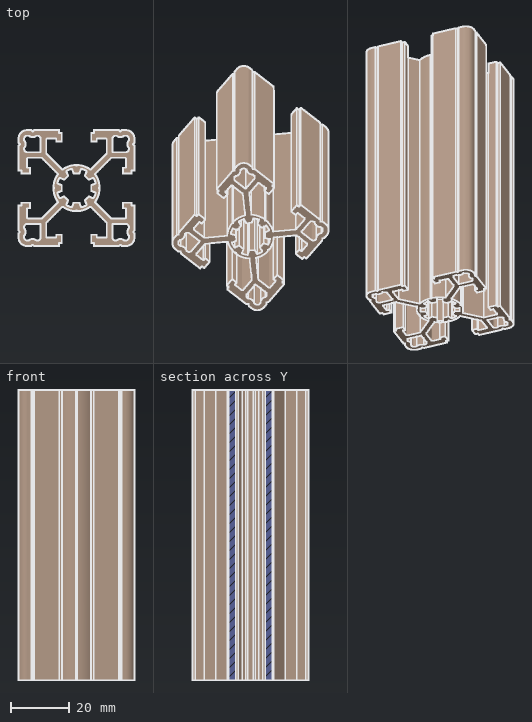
import cadquery as cq
import math

side = 40.0
length = 100.0
half_side = side / 2
corner_radius = 3.0

quadrant_count = 4

slot_width = 10.0
lip_step = 1.0
lip_wall = 3.0
hook_depth = 1.0
hook_width = 2.0

box_size = 9.6
outer_wall = 2.0
web_wall = 2.0
hollow_radius = corner_radius - outer_wall
lip_root_radius = 0.3
diagonal_wall = 2.2

groove_offset = 4.9
groove_width = 1.0
groove_depth = 0.5
bump_half_width = 1.3
bump_height = 0.5

ring_outer_radius = 8.0
ring_inner_radius = 6.8
tooth_tip_radius = 5.0
tooth_count = 8
tooth_base_width = 3.4
tooth_tip_width = 2.0
ring_groove_width = 0.6
ring_groove_depth = 0.4

box_inner = half_side - box_size
slot_edge = slot_width / 2


def extrude_outline(points):
    """Full-length prism over a closed outline of straight lines."""
    return cq.Workplane("XY").polyline(points).close().extrude(length)


def bar(x_start, x_end, y_start, y_end):
    """Full-length rectangular bar between two pairs of limits."""
    return (
        cq.Workplane("XY")
        .rect(x_end - x_start, y_end - y_start)
        .extrude(length)
        .translate(((x_start + x_end) / 2, (y_start + y_end) / 2, 0))
    )


def mirror_across_diagonal(solid):
    """Swap X and Y: a half turn about the line X = Y."""
    flipped = solid.rotate((0, 0, 0), (1, 1, 0), 180)
    return flipped.translate((0, 0, length))


def lip():
    """Stepped, hooked lip reaching from the corner box to the slot opening."""
    return extrude_outline([
        (box_inner, half_side),
        (slot_edge + lip_step, half_side),
        (slot_edge + lip_step, half_side - lip_step),
        (slot_edge, half_side - lip_step),
        (slot_edge, half_side - lip_wall - hook_depth),
        (slot_edge + hook_width, half_side - lip_wall - hook_depth),
        (slot_edge + hook_width, half_side - lip_wall),
        (box_inner, half_side - lip_wall),
    ])


def bump():
    """Rounded bump on the hollow's wall, in line with the marker groove."""
    centre = half_side - groove_offset
    wall = half_side - outer_wall
    return (
        cq.Workplane("XY")
        .moveTo(centre - bump_half_width, wall)
        .threePointArc((centre, wall - bump_height), (centre + bump_half_width, wall))
        .close()
        .extrude(length)
    )


def v_groove(centre, face, width, depth):
    """Prism that cuts a V groove at X = centre into the face at Y = face."""
    return extrude_outline([
        (centre - width / 2, face),
        (centre, face - depth),
        (centre + width / 2, face),
    ])


def hollow():
    """Space inside the corner box, rounded on its outer walls and narrowed by the bumps."""
    start = box_inner + web_wall
    end = half_side - outer_wall
    space = bar(start, end, start, end)
    space = space.edges("|Z and (>X or >Y)").fillet(hollow_radius)
    return space.cut(bump()).cut(mirror_across_diagonal(bump()))


def lip_root():
    """Concave fillet in the corner between the lip and the corner box."""
    lip_face = half_side - lip_wall
    bend = lip_root_radius * (1 - math.sqrt(0.5))
    return (
        cq.Workplane("XY")
        .moveTo(box_inner, lip_face)
        .lineTo(box_inner - lip_root_radius, lip_face)
        .threePointArc((box_inner - bend, lip_face - bend), (box_inner, lip_face - lip_root_radius))
        .close()
        .extrude(length)
    )


def corner():
    """Hollow corner box with a lip on each side, in the +X +Y quadrant."""
    box = bar(box_inner, half_side, box_inner, half_side)
    box = box.edges("|Z and >X and >Y").fillet(corner_radius).cut(hollow())
    side_lip = lip().union(lip_root())
    marker = v_groove(half_side - groove_offset, half_side, groove_width, groove_depth)
    solid = box.union(side_lip).union(mirror_across_diagonal(side_lip))
    return solid.cut(marker).cut(mirror_across_diagonal(marker))


def diagonal_web():
    """Web along the diagonal, from inside the ring wall to the corner box."""
    start = (ring_inner_radius + ring_outer_radius) / 2
    end = (box_inner + web_wall / 2) * math.sqrt(2)
    return bar(start, end, -diagonal_wall / 2, diagonal_wall / 2).rotate((0, 0, 0), (0, 0, 1), 45)


def tooth():
    """Tapered tooth pointing from the ring to the axis, along +X."""
    root = (ring_inner_radius + ring_outer_radius) / 2
    return extrude_outline([
        (root, -tooth_base_width / 2),
        (ring_inner_radius, -tooth_base_width / 2),
        (tooth_tip_radius, -tooth_tip_width / 2),
        (tooth_tip_radius, tooth_tip_width / 2),
        (ring_inner_radius, tooth_base_width / 2),
        (root, tooth_base_width / 2),
    ])


def turned(solid, index, count):
    """Copy number index of count copies spread evenly around the Z axis."""
    return solid.rotate((0, 0, 0), (0, 0, 1), index * 360 / count)


profile = cq.Workplane("XY").circle(ring_outer_radius).circle(ring_inner_radius).extrude(length)

for index in range(tooth_count):
    profile = profile.union(turned(tooth(), index, tooth_count))

quadrant = corner().union(diagonal_web())
ring_groove = v_groove(0, ring_outer_radius, ring_groove_width, ring_groove_depth)
for index in range(quadrant_count):
    profile = profile.union(turned(quadrant, index, quadrant_count))
    profile = profile.cut(turned(ring_groove, index, quadrant_count))

result = profile.translate((0, 0, -length / 2))